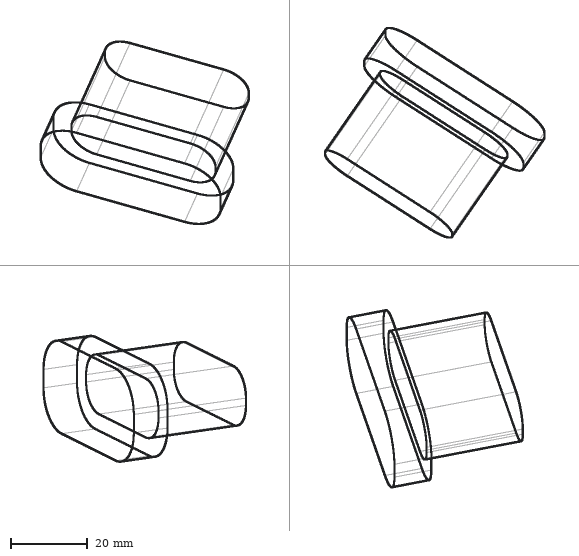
import cadquery as cq

head_width = 50.0
head_height = 25.0
head_thickness = 10.0
head_corner_radius = 10.0

plug_width = 40.0
plug_height = 16.0
plug_length = 26.0
plug_corner_radius = 7.0


def rounded_block(width, height, length, corner_radius, front_y):
    """Block centred on X and Z, running toward +Y from front_y, with its four long edges rounded."""
    return (
        cq.Workplane("XY")
        .box(width, length, height, centered=(True, False, True))
        .edges("|Y")
        .fillet(corner_radius)
        .translate((0, front_y, 0))
    )


head = rounded_block(head_width, head_height, head_thickness, head_corner_radius, front_y=0)
plug = rounded_block(plug_width, plug_height, plug_length, plug_corner_radius, front_y=head_thickness)

result = cq.Compound.makeCompound([head.val(), plug.val()])